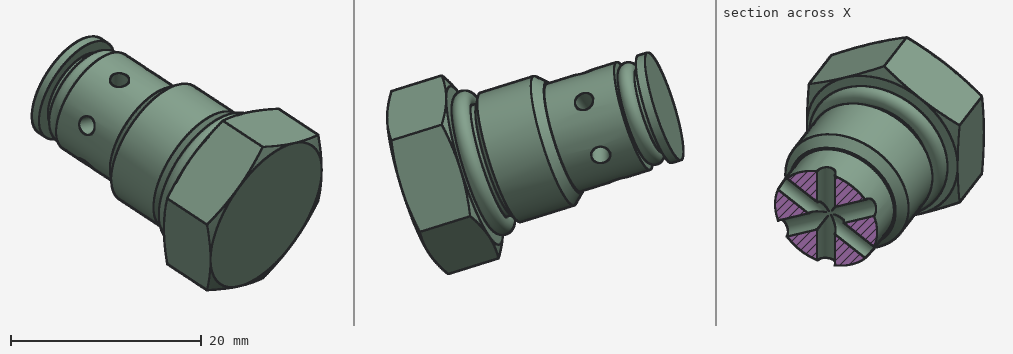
import cadquery as cq
import math

length = 27.8
end_disc_end = 1.03
nose_start = 3.45
shank_start = 11.24
shank_full_start = 12.32
shank_full_end = 18.3
neck_start = 18.88
head_start = 21.2

nose_diameter = 11.87
groove_diameter = 9.1
shank_diameter = 14.27
neck_diameter = 12.3

head_flats = 17.45
head_corners = head_flats / math.cos(math.radians(30))
head_chamfer_angle = 20.0

hole_diameter = 2.0
hole_x = 7.1
hole_count = 6

nose_ring_section = 1.78
nose_ring_outer = 11.2
head_ring_section = 2.0
head_ring_outer = 15.82


def ring_center(shoulder_x, section, outer_diameter):
    """X and radius of the centre of an O-ring's round section."""
    return shoulder_x - section / 2, (outer_diameter - section) / 2


def make_o_ring(shoulder_x, section, outer_diameter):
    """An O-ring around X that touches the shoulder behind it."""
    x, radius = ring_center(shoulder_x, section, outer_diameter)
    return cq.Workplane("XY").center(x, radius).circle(section / 2).revolve(360, (0, -radius), (1, -radius))


def add_ring_seat(outline, floor_radius, shoulder_x, section, outer_diameter):
    """Continue the outline along a groove floor, with a round dent where the O-ring rests."""
    x, radius = ring_center(shoulder_x, section, outer_diameter)
    half_width = math.sqrt((section / 2) ** 2 - (radius - floor_radius) ** 2)
    return (
        outline.lineTo(x - half_width, floor_radius)
        .threePointArc((x, radius - section / 2), (x + half_width, floor_radius))
        .lineTo(shoulder_x, floor_radius)
    )


def make_turned_body():
    """Nose and shank, up to the front face of the head."""
    nose_radius = nose_diameter / 2
    groove_radius = groove_diameter / 2
    shank_radius = shank_diameter / 2
    neck_radius = neck_diameter / 2

    outline = (
        cq.Workplane("XY")
        .moveTo(0, 0)
        .lineTo(0, nose_radius)
        .lineTo(end_disc_end, nose_radius)
        .lineTo(end_disc_end, groove_radius)
    )
    outline = add_ring_seat(outline, groove_radius, nose_start, nose_ring_section, nose_ring_outer)
    outline = (
        outline.lineTo(nose_start, nose_radius)
        .lineTo(shank_start, nose_radius)
        .lineTo(shank_start, neck_radius)
        .lineTo(shank_full_start, shank_radius)
        .lineTo(shank_full_end, shank_radius)
        .lineTo(neck_start, neck_radius)
    )
    outline = add_ring_seat(outline, neck_radius, head_start, head_ring_section, head_ring_outer)
    return outline.lineTo(head_start, 0).close().revolve(360, (0, 0), (1, 0))


def make_head():
    """Hexagonal head with its corners chamfered at both ends."""
    hexagon = (
        cq.Workplane("YZ", origin=(head_start, 0, 0))
        .transformed(rotate=(0, 0, 90))
        .polygon(6, head_corners)
        .extrude(length - head_start)
    )
    flat_radius = head_flats / 2
    corner_radius = head_corners / 2
    chamfer_depth = (corner_radius - flat_radius) * math.tan(math.radians(head_chamfer_angle))
    chamfer_envelope = (
        cq.Workplane("XY")
        .moveTo(head_start, 0)
        .lineTo(head_start, flat_radius)
        .lineTo(head_start + chamfer_depth, corner_radius)
        .lineTo(length - chamfer_depth, corner_radius)
        .lineTo(length, flat_radius)
        .lineTo(length, 0)
        .close()
        .revolve(360, (0, 0), (1, 0))
    )
    return hexagon.intersect(chamfer_envelope)


def make_radial_holes():
    """Drills across the nose; each makes two opposite holes."""
    drill = (
        cq.Workplane("XY", origin=(hole_x, 0, 0))
        .circle(hole_diameter / 2)
        .extrude(nose_diameter / 2 + hole_diameter, both=True)
    )
    holes = drill
    for index in range(1, hole_count // 2):
        holes = holes.union(drill.rotate((0, 0, 0), (1, 0, 0), index * 360 / hole_count))
    return holes


housing = make_turned_body().union(make_head()).cut(make_radial_holes())
nose_o_ring = make_o_ring(nose_start, nose_ring_section, nose_ring_outer)
head_o_ring = make_o_ring(head_start, head_ring_section, head_ring_outer)

result = cq.Compound.makeCompound([housing.solids().val(), nose_o_ring.val(), head_o_ring.val()])